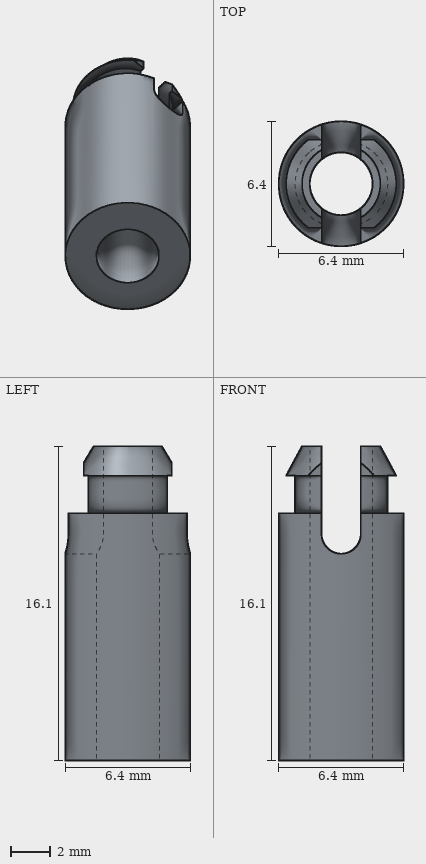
import cadquery as cq

total_height = 16.1
body_diameter = 6.4
body_height = 12.67
bore_diameter = 3.2

neck_width = 4.75
neck_depth = 4.05
head_base_z = 14.59
head_base_diameter = 5.64
head_top_diameter = 4.01
head_flat_width = 4.5

slot_width = 2.0
slot_bottom_z = 10.6


def make_body():
    return cq.Workplane("XY").circle(body_diameter / 2).extrude(body_height)


def make_neck():
    """Two rounded prong stems, their arcs centered either side of the axis."""
    return (
        cq.Workplane("XY")
        .workplane(offset=body_height)
        .moveTo(-slot_width / 2, -neck_depth / 2)
        .lineTo(slot_width / 2, -neck_depth / 2)
        .threePointArc((neck_width / 2, 0), (slot_width / 2, neck_depth / 2))
        .lineTo(-slot_width / 2, neck_depth / 2)
        .threePointArc((-neck_width / 2, 0), (-slot_width / 2, -neck_depth / 2))
        .close()
        .extrude(head_base_z - body_height)
    )


def make_head():
    """Truncated cone with its widest edge at the neck, trimmed by flats facing +Y and -Y."""
    head_height = total_height - head_base_z
    cone = (
        cq.Workplane("XY")
        .workplane(offset=head_base_z)
        .circle(head_base_diameter / 2)
        .workplane(offset=head_height)
        .circle(head_top_diameter / 2)
        .loft(ruled=True)
    )
    trim = (
        cq.Workplane("XY")
        .workplane(offset=head_base_z)
        .rect(body_diameter, head_flat_width)
        .extrude(head_height)
    )
    return cone.intersect(trim)


def make_slot():
    """Slot running through along Y, open at the top."""
    slot_radius = slot_width / 2
    arc_z = slot_bottom_z + slot_radius
    return (
        cq.Workplane("XZ")
        .moveTo(-slot_radius, total_height)
        .lineTo(-slot_radius, arc_z)
        .threePointArc((0, slot_bottom_z), (slot_radius, arc_z))
        .lineTo(slot_radius, total_height)
        .close()
        .extrude(body_diameter / 2, both=True)
    )


bore = cq.Workplane("XY").circle(bore_diameter / 2).extrude(total_height)
result = make_body().union(make_neck()).union(make_head()).cut(bore).cut(make_slot())